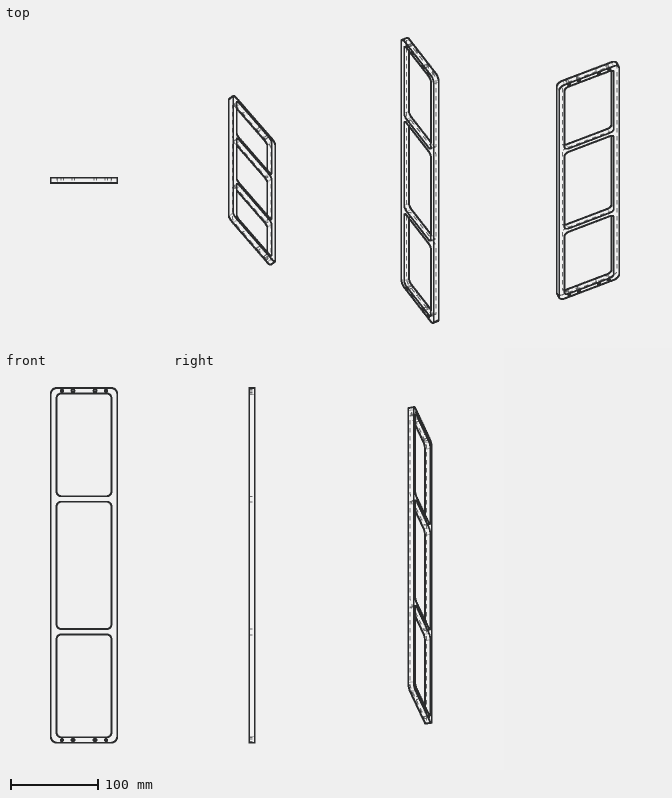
import cadquery as cq

width = 76.5
thickness = 6.5
height = 406.5
corner_radius = 7.5

side_rail = 7.0
end_rail = 6.5
crossbar = 6.5
crossbar_offset = 76.0
window_radius = 5.3

outer_hole_diameter = 2.4
inner_hole_diameter = 3.05
outer_hole_x = 25.0
inner_hole_x = 12.5
hole_z = height / 2 - end_rail / 2


def rounded_bar(x_size, z_size, radius, z_center=0.0):
    """Plate in the XZ plane, centred on Y, with its four corners rounded."""
    plate = cq.Workplane("XY").box(x_size, thickness, z_size)
    return plate.edges("|Y").fillet(radius).translate((0, 0, z_center))


def window(z_bottom, z_top):
    """Cutter for one opening between the side rails."""
    return rounded_bar(width - 2 * side_rail, z_top - z_bottom, window_radius, (z_bottom + z_top) / 2)


def mirrored_holes(x, diameter):
    """Cutters along Y at the four mirrored positions in the end rails."""
    points = [(sx * x, sz * hole_z) for sx in (-1, 1) for sz in (-1, 1)]
    return cq.Workplane("XZ").pushPoints(points).circle(diameter / 2).extrude(thickness / 2, both=True)


middle_top = crossbar_offset - crossbar / 2
outer_bottom = crossbar_offset + crossbar / 2
outer_top = height / 2 - end_rail

result = rounded_bar(width, height, corner_radius)
for z_bottom, z_top in (
    (-outer_top, -outer_bottom),
    (-middle_top, middle_top),
    (outer_bottom, outer_top),
):
    result = result.cut(window(z_bottom, z_top))

for x, diameter in ((outer_hole_x, outer_hole_diameter), (inner_hole_x, inner_hole_diameter)):
    result = result.cut(mirrored_holes(x, diameter))